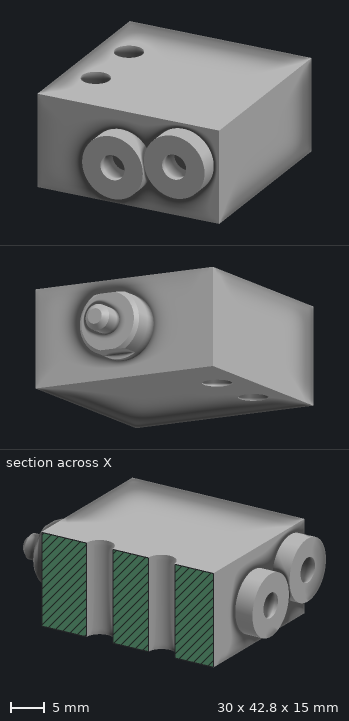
import cadquery as cq

overall_length = 42.8

block_side = 30.0
block_height = 15.0
front_y = -block_side / 2
back_y = block_side / 2

mount_hole_diameter = 4.5
mount_hole_x = -block_side / 2 + 5.0
mount_hole_ys = (4.9, -5.9)

port_centres = ((-0.6, 0), (9.6, 2.1))
neck_diameter = 6.0
neck_length = 1.0
flange_diameter = 10.0
flange_thickness = 3.0
bore_diameter = 4.0
port_length = neck_length + flange_thickness

collar_diameter = 10.0
collar_length = 4.95
collar_chamfer = 0.55
flats_width = 8.55
flats_start = 1.33
plunger_diameter = 4.0
plunger_chamfer = 0.8
plunger_reach = overall_length - block_side - port_length


def rod(diameter, length, y_start, x=0, z=0):
    """Cylinder running toward +Y from y_start."""
    plane = cq.Plane(origin=(x, y_start, z), xDir=(1, 0, 0), normal=(0, 1, 0))
    return cq.Workplane(plane).circle(diameter / 2).extrude(length)


def make_block():
    hole_points = [(mount_hole_x, y) for y in mount_hole_ys]
    block = cq.Workplane("XY").box(block_side, block_side, block_height)
    return block.faces(">Z").workplane().pushPoints(hole_points).hole(mount_hole_diameter)


def make_port(x, z):
    tip_y = front_y - port_length
    flange = rod(flange_diameter, flange_thickness, tip_y, x, z)
    neck = rod(neck_diameter, neck_length, front_y - neck_length, x, z)
    return flange.union(neck)


def make_collar():
    """Chamfered collar with two wrench flats, above and below."""
    collar = rod(collar_diameter, collar_length, back_y).faces(">Y").chamfer(collar_chamfer)
    flats_length = collar_length - flats_start
    outside = cq.Workplane("XY").box(collar_diameter, flats_length, collar_diameter)
    between = cq.Workplane("XY").box(collar_diameter, flats_length, flats_width)
    waste = outside.cut(between).translate((0, back_y + flats_start + flats_length / 2, 0))
    return collar.cut(waste)


def make_plunger():
    return rod(plunger_diameter, plunger_reach, back_y).faces(">Y").chamfer(plunger_chamfer)


result = make_block().union(make_collar()).union(make_plunger())
for port_x, port_z in port_centres:
    result = result.union(make_port(port_x, port_z))
    result = result.cut(rod(bore_diameter, port_length, front_y - port_length, port_x, port_z))

result = result.translate((0, (port_length - plunger_reach) / 2, 0))